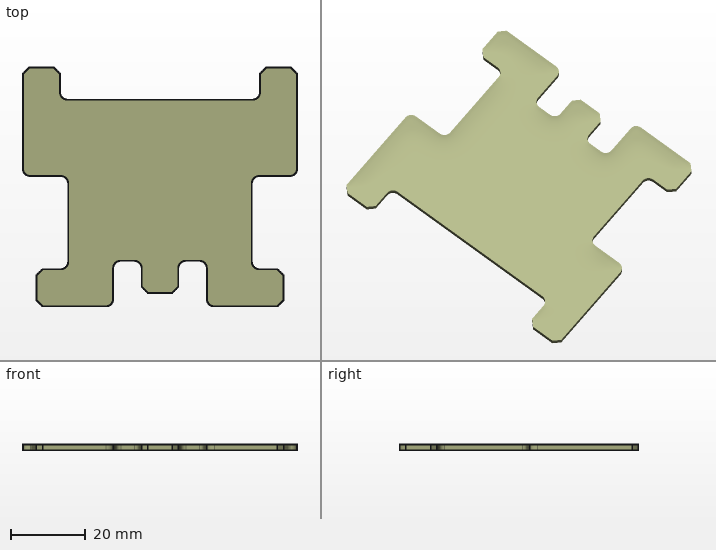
import cadquery as cq

WIDTH = 73.45
LENGTH = 64.0
THICKNESS = 1.6

TAB_LENGTH = 8.6
TAB_CHAMFER = 1.7
CORNER_RADIUS = 2.0

ARM_WIDTH = 10.0
WAIST_WIDTH = 49.2
FEET_WIDTH = 66.25
FEET_GAP = 25.05
CENTRE_TAB_WIDTH = 9.85

ARM_LENGTH = 29.1
FOOT_HEIGHT = ARM_WIDTH
CENTRE_TAB_SETBACK = 3.6

EDGE_REACH = 0.1

arm_outer_x = WIDTH / 2
arm_inner_x = arm_outer_x - ARM_WIDTH
waist_x = WAIST_WIDTH / 2
foot_outer_x = FEET_WIDTH / 2
foot_inner_x = FEET_GAP / 2
centre_tab_x = CENTRE_TAB_WIDTH / 2

top_y = LENGTH / 2
shoulder_y = top_y - TAB_LENGTH
arm_bottom_y = top_y - ARM_LENGTH
bottom_y = -LENGTH / 2
foot_top_y = bottom_y + FOOT_HEIGHT
centre_tab_end_y = bottom_y + CENTRE_TAB_SETBACK
slot_top_y = centre_tab_end_y + TAB_LENGTH

ROUNDED = "rounded"
CHAMFERED = "chamfered"
right_corners = [
    (arm_inner_x, shoulder_y, ROUNDED),
    (arm_inner_x, top_y, CHAMFERED),
    (arm_outer_x, top_y, CHAMFERED),
    (arm_outer_x, arm_bottom_y, ROUNDED),
    (waist_x, arm_bottom_y, ROUNDED),
    (waist_x, foot_top_y, ROUNDED),
    (foot_outer_x, foot_top_y, CHAMFERED),
    (foot_outer_x, bottom_y, CHAMFERED),
    (foot_inner_x, bottom_y, ROUNDED),
    (foot_inner_x, slot_top_y, ROUNDED),
    (centre_tab_x, slot_top_y, ROUNDED),
    (centre_tab_x, centre_tab_end_y, CHAMFERED),
]

left_corners = [(-x, y, finish) for x, y, finish in reversed(right_corners)]
corners = right_corners + left_corners


def upright_edges(plate, wanted_finish):
    """Select the vertical edges at all corners that get the wanted finish."""
    edges = plate.edges("|Z")
    picked = plate.newObject([])
    for x, y, finish in corners:
        if finish == wanted_finish:
            around_corner = cq.selectors.BoxSelector(
                (x - EDGE_REACH, y - EDGE_REACH, -THICKNESS),
                (x + EDGE_REACH, y + EDGE_REACH, THICKNESS),
            )
            picked = picked.add(edges.edges(around_corner))
    return picked


def make_plate():
    """Extrude the sharp-cornered outline, then finish its corners."""
    outline = [(x, y) for x, y, finish in corners]
    plate = cq.Workplane("XY").polyline(outline).close().extrude(THICKNESS / 2, both=True)
    plate = upright_edges(plate, ROUNDED).fillet(CORNER_RADIUS)
    return upright_edges(plate, CHAMFERED).chamfer(TAB_CHAMFER)


result = make_plate()